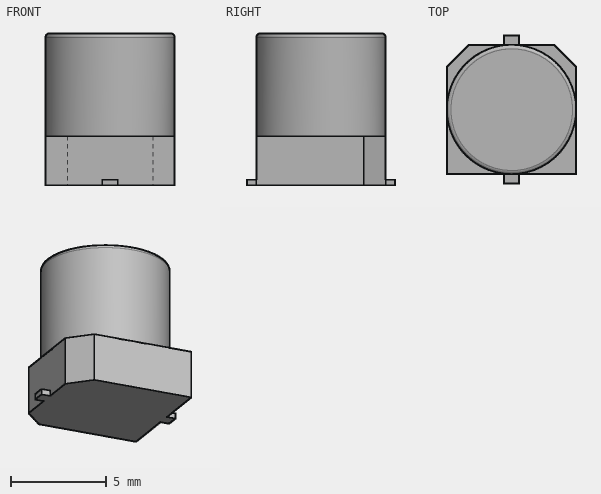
import cadquery as cq

total_height = 8.0
body_width = 6.8
terminal_span = 7.8

base_height = 2.6
corner_cut = 1.15

can_height = total_height - base_height
can_edge_radius = 0.2

terminal_width = 0.8
terminal_thickness = 0.3


def make_base():
    base = cq.Workplane("XY").box(body_width, body_width, base_height, centered=(True, True, False))
    return base.edges("|Z and >Y").chamfer(corner_cut)


def make_can():
    can = cq.Workplane("XY").workplane(offset=base_height).circle(body_width / 2).extrude(can_height)
    return can.faces(">Z").edges().fillet(can_edge_radius)


def make_terminals():
    return cq.Workplane("XY").box(
        terminal_width, terminal_span, terminal_thickness, centered=(True, True, False)
    )


result = make_base().union(make_can()).union(make_terminals())